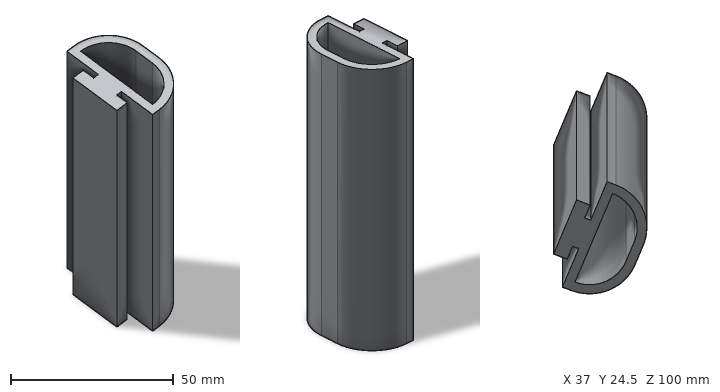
import cadquery as cq

length = 100.0
width = 37.0
wall = 3.0
side_height = 3.0
dome_height = 18.0
corner_radius = dome_height - side_height
flange_width = 19.0
flange_thickness = 4.5
neck_width = 10.0
neck_height = 2.0



def dome(half_width, bottom, spring, radius):
    """Extruded dome: flat base, short sides, two quarter arcs and a flat crown."""
    crown_half = half_width - radius
    diagonal = radius * 0.5**0.5
    profile = cq.Workplane("XY").moveTo(-half_width, bottom).lineTo(half_width, bottom)
    if spring > bottom:
        profile = profile.lineTo(half_width, spring)
    profile = (
        profile
        .threePointArc((crown_half + diagonal, spring + diagonal), (crown_half, spring + radius))
        .lineTo(-crown_half, spring + radius)
        .threePointArc((-crown_half - diagonal, spring + diagonal), (-half_width, spring))
    )
    return profile.close().extrude(length)


def bar(bar_width, top, thickness):
    """Full-length rectangular bar hanging down in Y from the given top face."""
    return (
        cq.Workplane("XY")
        .center(0, top - thickness / 2)
        .rect(bar_width, thickness)
        .extrude(length)
    )


outer = dome(width / 2, 0, side_height, corner_radius)
cavity = dome(width / 2 - wall, wall, side_height, corner_radius - wall)

neck = bar(neck_width, wall, wall + neck_height)
flange = bar(flange_width, -neck_height, flange_thickness)

result = outer.cut(cavity).union(neck).union(flange)